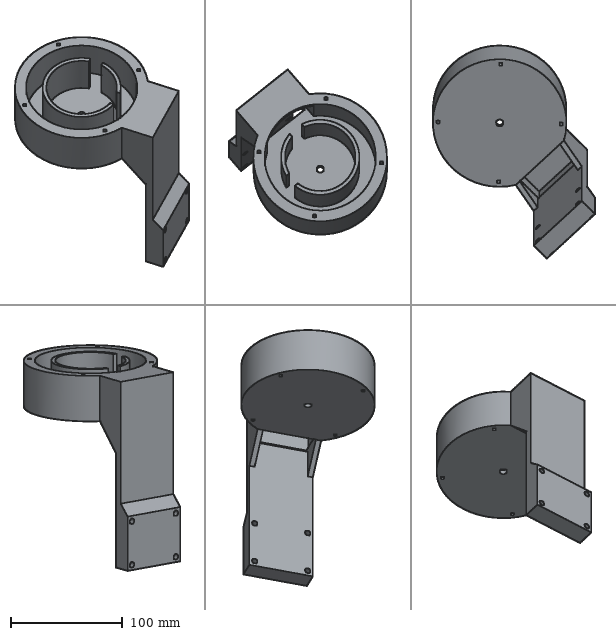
import cadquery as cq
import math

cup_diameter = 119.5
cup_bore_diameter = 99.5
cup_height = 42.0
floor_thickness = 5.0

ring_outer_diameter = 70.0
ring_wall = 3.5
ring_inner_diameter = ring_outer_diameter - 2 * ring_wall
back_gap_width = 12.0
arm_gap_width = 14.0

shaft_hole_diameter = 6.4
lid_hole_diameter = 3.0
lid_hole_circle_radius = 55.0
lid_hole_count = 4
lid_hole_start_angle = 45.0

arm_width = 60.0
bracket_reach = 40.0
arm_root_x = math.sqrt((cup_diameter / 2) ** 2 - (arm_width / 2) ** 2)
plate_thickness = 7.0
foot_thickness = 17.0
foot_back_x = arm_root_x + bracket_reach
plate_front_x = foot_back_x - foot_thickness
plate_back_x = plate_front_x + plate_thickness
plate_bottom_z = -130.0
gusset_bottom_z = -25.0
foot_slope_top_z = -70.0
foot_slope_bottom_z = -80.0

arm_wall = 3.0
chamber_roof = 5.0
chamber_width = arm_width - 2 * arm_wall
chamber_back_x = plate_back_x - arm_wall
chamber_top_z = cup_height - chamber_roof

outlet_width = 50.0
outlet_ramp_run = chamber_back_x - plate_front_x
outlet_ramp_bottom_z = floor_thickness - outlet_ramp_run

mount_hole_diameter = 5.0
mount_hole_y = 25.0
mount_hole_heights = (-85.0, -125.0)


def make_cup():
    return cq.Workplane("XY").circle(cup_diameter / 2).extrude(cup_height)


def make_bracket():
    """Arm, plate and foot as one side profile; the arm starts at the cup axis."""
    profile = [
        (arm_root_x, 0),
        (plate_front_x, gusset_bottom_z),
        (plate_front_x, plate_bottom_z),
        (foot_back_x, plate_bottom_z),
        (foot_back_x, foot_slope_bottom_z),
        (plate_back_x, foot_slope_top_z),
        (plate_back_x, cup_height),
        (0, cup_height),
        (0, 0),
    ]
    return cq.Workplane("XZ").polyline(profile).close().extrude(arm_width / 2, both=True)


def make_bore():
    bore_depth = cup_height - floor_thickness
    floor_plane = cq.Workplane("XY").workplane(offset=floor_thickness)
    return floor_plane.circle(cup_bore_diameter / 2).extrude(bore_depth)


def make_chamber():
    """Room behind the cup bore, level with the cup floor."""
    height = chamber_top_z - floor_thickness
    block = cq.Workplane("XY").box(chamber_back_x, chamber_width, height, centered=(False, True, False))
    return block.translate((0, 0, floor_thickness))


def make_outlet():
    """Downward opening with a 45 degree ramp leading in from the back wall of the chamber."""
    profile = [
        (arm_root_x, floor_thickness),
        (arm_root_x, gusset_bottom_z),
        (plate_front_x, gusset_bottom_z),
        (plate_front_x, outlet_ramp_bottom_z),
        (chamber_back_x, floor_thickness),
    ]
    return cq.Workplane("XZ").polyline(profile).close().extrude(outlet_width / 2, both=True)


def make_split_ring():
    """Ring with one gap facing +Y and a second gap facing the arm at +X."""
    ring_height = cup_height - floor_thickness
    outline = cq.Workplane("XY").circle(ring_outer_diameter / 2).circle(ring_inner_diameter / 2)
    ring = outline.extrude(ring_height)
    gap_length = ring_outer_diameter
    back_gap = cq.Workplane("XY").box(back_gap_width, gap_length, ring_height, centered=(True, False, False))
    arm_gap = cq.Workplane("XY").box(gap_length, arm_gap_width, ring_height, centered=(False, True, False))
    return ring.cut(back_gap).cut(arm_gap).translate((0, 0, floor_thickness))


def make_cup_holes():
    shaft_hole = cq.Workplane("XY").circle(shaft_hole_diameter / 2).extrude(cup_height)
    lid_holes = (
        cq.Workplane("XY")
        .polarArray(lid_hole_circle_radius, lid_hole_start_angle, 360, lid_hole_count)
        .circle(lid_hole_diameter / 2)
        .extrude(cup_height)
    )
    return shaft_hole.union(lid_holes)


def make_mount_holes():
    centres = [(side * mount_hole_y, z) for side in (-1, 1) for z in mount_hole_heights]
    plane = cq.Workplane("YZ", origin=(plate_front_x, 0, 0))
    return plane.pushPoints(centres).circle(mount_hole_diameter / 2).extrude(foot_thickness)


body = make_cup().union(make_bracket())
body = body.cut(make_bore()).cut(make_chamber()).cut(make_outlet())
body = body.union(make_split_ring())
result = body.cut(make_cup_holes()).cut(make_mount_holes())